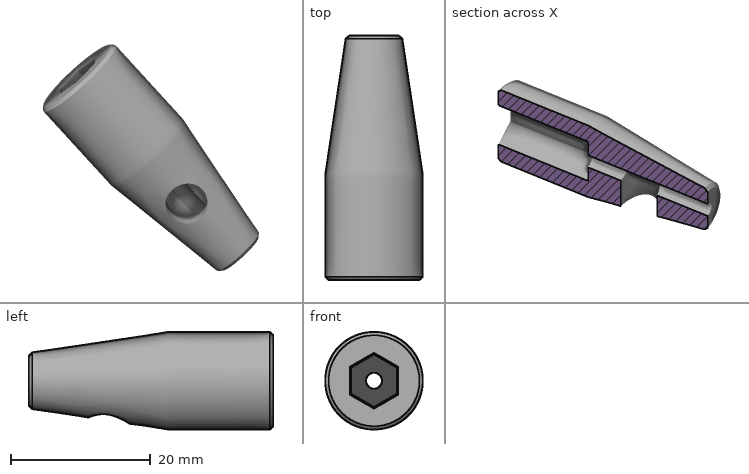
import cadquery as cq
import math

length = 35.0
body_diameter = 14.0
tip_diameter = 8.0
cylinder_length = 15.0
end_chamfer = 0.5
shoulder_radius = 3.0

hex_across_flats = 6.5
hex_depth = 15.0
hex_chamfer = 0.2

bore_diameter = 2.25
side_hole_diameter = 6.0
side_hole_y = 23.5

body_radius = body_diameter / 2
tip_radius = tip_diameter / 2


def make_body():
    """Revolved cylinder and cone with a blended shoulder and chamfered ends."""
    profile = [
        (0, 0),
        (body_radius, 0),
        (body_radius, cylinder_length),
        (tip_radius, length),
        (0, length),
    ]
    body = cq.Workplane("XY").polyline(profile).close().revolve(360, (0, 0, 0), (0, 1, 0))
    shoulder_selector = cq.selectors.NearestToPointSelector((body_radius, cylinder_length, 0))
    body = body.edges("%CIRCLE").edges(shoulder_selector).fillet(shoulder_radius)
    return body.faces("<Y or >Y").edges().chamfer(end_chamfer)


def hex_prism(across_flats, depth, taper=0):
    """Hexagonal prism going from the front face in +Y, narrowing by the taper angle."""
    corner_radius = across_flats / math.sqrt(3)
    corner_angles = [math.radians(90 + 60 * i) for i in range(6)]
    corners = [(corner_radius * math.cos(a), corner_radius * math.sin(a)) for a in corner_angles]
    return cq.Workplane("XZ").polyline(corners).close().extrude(-depth, taper=taper)


def make_hex_socket():
    """Hexagonal socket with a 45 degree lead-in at its mouth."""
    lead_in = hex_prism(hex_across_flats + 2 * hex_chamfer, hex_chamfer, taper=45)
    return hex_prism(hex_across_flats, hex_depth).union(lead_in)


def make_bore():
    """Axial hole through the full length."""
    return cq.Workplane("XZ").circle(bore_diameter / 2).extrude(-length)


def make_side_hole():
    """Round hole from outside the -Z side up to the axis."""
    return (
        cq.Workplane("XY")
        .center(0, side_hole_y)
        .circle(side_hole_diameter / 2)
        .extrude(-body_radius)
    )


result = make_body().cut(make_hex_socket()).cut(make_bore()).cut(make_side_hole())